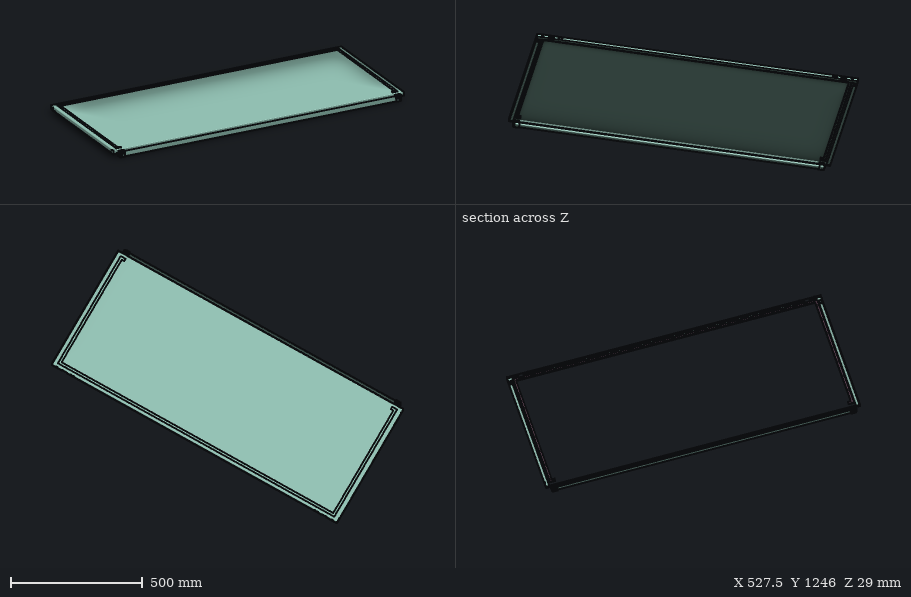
import cadquery as cq


door_width = 510.0
door_length = 1246.0
total_depth = 28.97
hinge_overhang = 17.5
sheet = 1.0
inner_radius = 1.0
bend_radius = 2.8

side_depth = 16.0
end_depth = 18.5
side_return = 14.0
end_return = 15.0
hinge_side_return = 4.5

channel_overhang = 13.5
channel_lip_top = -5.0
channel_bend_radius = 3.6
hinge_far_inset = 41.0

latch_notch_inset = 56.0
latch_notch_width = 20.0
latch_notch_top = -6.0
hole_z = -5.5
corner_hole_diameter = 7.0
corner_hole_inset = 22.5
paired_hole_diameter = 5.0
paired_hole_insets = (84.5, 96.0)
end_hole_diameter = 5.0
end_hole_inset = 17.0
drain_inset = 25.5
drain_width = 4.5

gasket_side_inset = 14.5
gasket_end_inset = 19.5
gasket_width = 10.5
gasket_depth = 8.0
gasket_chamfer = 3.0

hinge_near_inset = 19.0
hinge_top = -6.0
hinge_edge_radius = 4.5
end_chamfer = 3.5
end_plate_thickness = 5.0
gap_width = 5.0
gap_depth = 4.0
groove_top = -8.5
groove_height = 6.0
cap_width = 10.0
cap_step = 1.5
screw_hole_diameter = 6.5
pin_hole_diameter = 7.0
pin_x_offset = 5.5

half_width = door_width / 2
half_length = door_length / 2
foot_x = half_width - hinge_side_return
channel_x = half_width + channel_overhang
hinge_x = half_width + hinge_overhang
channel_half_length = half_length - hinge_far_inset
hinge_length = hinge_far_inset - hinge_near_inset


def block(x_range, y_range, z_range):
    """Box between the two limits given along each axis."""
    limits = (x_range, y_range, z_range)
    sizes = [max(pair) - min(pair) for pair in limits]
    corner = tuple(min(pair) for pair in limits)
    return cq.Workplane("XY").box(*sizes, centered=False).translate(corner)


def make_tray():
    """Skin with four turned-down edges and their inward returns."""
    x_span = (-half_width, half_width)
    tray = block(x_span, (-half_length, half_length), (-side_depth, 0))
    tray = tray.edges(">Z").fillet(bend_radius)
    deep_x = (-half_width + side_return, foot_x)
    for side in (-1, 1):
        outer_y = side * half_length
        inner_y = side * (half_length - end_return)
        deep_edge = block(deep_x, (outer_y, inner_y), (-end_depth, -side_depth))
        tray = tray.union(deep_edge)

    wall_x = (-half_width + sheet, half_width - sheet)
    wall_y = half_length - sheet
    cavity = block(wall_x, (-wall_y, wall_y), (-side_depth + sheet, -sheet))
    tray = tray.cut(cavity.edges(">Z").fillet(inner_radius))
    hollow_x = (deep_x[0] + sheet, foot_x - sheet)
    tray = tray.cut(block(hollow_x, (-wall_y, wall_y), (-end_depth + sheet, -side_depth + sheet)))
    mouth_y = half_length - end_return
    return tray.cut(block(deep_x, (-mouth_y, mouth_y), (-end_depth, -bend_radius)))


def make_channel():
    """Folded channel: foot wall down from the +X return, floor, and outer lip."""
    y_span = (-channel_half_length, channel_half_length)
    channel = block((foot_x, channel_x), y_span, (-total_depth, channel_lip_top))
    channel = channel.edges("|Y and <Z").fillet(channel_bend_radius)
    trough = block(
        (foot_x + sheet, channel_x - sheet), y_span, (-total_depth + sheet, channel_lip_top)
    )
    trough = trough.edges("|Y and <Z").fillet(channel_bend_radius - sheet)
    above_foot = block((foot_x, half_width), y_span, (-side_depth + sheet, channel_lip_top))
    return channel.cut(trough).cut(above_foot)


def cut_openings(door):
    """Latch notches, holes and drain slots near each end of the folded edges."""
    side_holes = [(corner_hole_inset, corner_hole_diameter)]
    side_holes += [(inset, paired_hole_diameter) for inset in paired_hole_insets]
    for side in (-1, 1):
        notch_y = side * (half_length - latch_notch_inset)
        door = door.cut(block(
            (-half_width, -half_width + side_return),
            (notch_y - latch_notch_width / 2, notch_y + latch_notch_width / 2),
            (-side_depth, latch_notch_top),
        ))
        for inset, diameter in side_holes:
            hole_y = side * (half_length - inset)
            hole = cq.Workplane("YZ", origin=(-half_width, hole_y, hole_z))
            door = door.cut(hole.circle(diameter / 2).extrude(sheet))

        end_wall_y = side * (half_length - sheet / 2)
        for end in (-1, 1):
            hole_x = end * (half_width - end_hole_inset)
            hole = cq.Workplane("XZ", origin=(hole_x, end_wall_y, hole_z))
            door = door.cut(hole.circle(end_hole_diameter / 2).extrude(sheet / 2, both=True))
        drain_x = -half_width + drain_inset
        door = door.cut(block(
            (drain_x - drain_width / 2, drain_x + drain_width / 2),
            (side * half_length, side * (half_length - end_return)),
            (-end_depth, -side_depth),
        ))
    return door


def make_door():
    return cut_openings(make_tray().union(make_channel()))


def make_gasket():
    """Seal strip under the skin, left open along the channel."""
    outer_x = half_width - gasket_side_inset
    outer_y = half_length - gasket_end_inset
    inner_x = outer_x - gasket_width
    inner_y = outer_y - gasket_width
    z_span = (-sheet - gasket_depth, -sheet)
    gasket = block((-outer_x, outer_x), (-outer_y, outer_y), z_span)
    gasket = gasket.edges("<Z").chamfer(gasket_chamfer)
    gasket = gasket.cut(block((-inner_x, inner_x), (-inner_y, inner_y), z_span))
    y_open = (-channel_half_length, channel_half_length)
    return gasket.cut(block((inner_x, outer_x), y_open, z_span))


def make_hinge(side):
    """Hinge block wrapped around the +X edge, at the -Y (side = -1) or +Y end."""
    near_y = side * (half_length - hinge_near_inset)
    far_y = side * channel_half_length
    y_span = (near_y, far_y)
    hinge = block((foot_x, hinge_x), y_span, (-total_depth, hinge_top))
    hinge = hinge.edges("|Y and <Z").fillet(hinge_edge_radius)
    near_face = "<Y" if side < 0 else ">Y"
    hinge = hinge.faces(near_face).edges("<Z").chamfer(end_chamfer)
    hinge = hinge.cut(block((foot_x, half_width), y_span, (-side_depth, hinge_top)))

    plate_y = near_y - side * end_plate_thickness
    cap_x = (half_width, half_width + cap_width)
    hinge = hinge.union(block(cap_x, (plate_y, far_y), (hinge_top, hinge_top + cap_step)))

    gap_x = (hinge_x - gap_depth, hinge_x)
    gap_y = (plate_y, plate_y - side * gap_width)
    hinge = hinge.cut(block(gap_x, gap_y, (-total_depth, hinge_top)))
    hinge = hinge.cut(block(gap_x, y_span, (groove_top - groove_height, groove_top)))

    pin_x = half_width + pin_x_offset
    pin_z = -side_depth
    mid_y = (near_y + far_y) / 2
    bore = cq.Workplane("XZ", origin=(pin_x, mid_y, pin_z))
    hinge = hinge.cut(bore.circle(pin_hole_diameter / 2).extrude(hinge_length / 2, both=True))
    screw_y = (plate_y + far_y) / 2
    screw = cq.Workplane("XY", origin=(pin_x, screw_y, pin_z))
    return hinge.cut(screw.circle(screw_hole_diameter / 2).extrude(side_depth))


door = make_door()
gasket = make_gasket()
hinges = [make_hinge(side) for side in (-1, 1)]

result = cq.Compound.makeCompound(
    [body.solids().val() for body in (door, gasket, *hinges)]
)